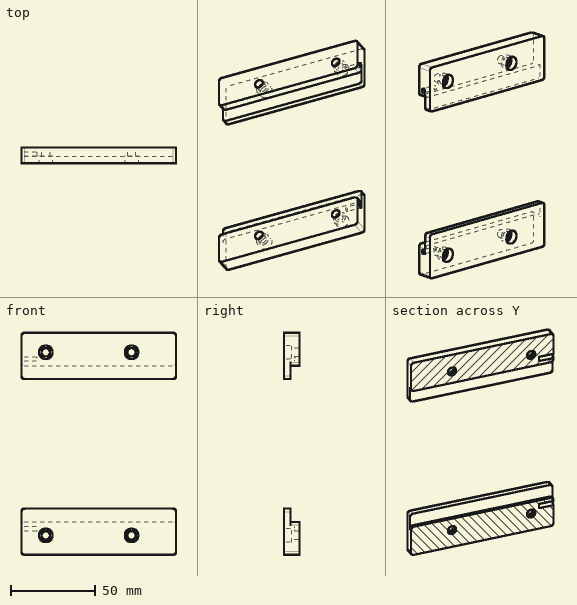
import cadquery as cq

LENGTH = 92.0
THICKNESS = 9.5
OVERALL_HEIGHT = 132.0

JAW_HEIGHT = 27.6
LIP_THICKNESS = 4.1
LIP_OVERHANG = 7.9
BLOCK_HEIGHT = JAW_HEIGHT - LIP_OVERHANG
CORNER_RADIUS = 2.0

SCREW_DIAMETER = 5.0
COUNTERBORE_DIAMETER = 8.0
COUNTERBORE_DEPTH = 4.5
SCREW_INSET = 14.5
SCREW_SPACING = 51.0
SCREW_EDGE_DISTANCE = 11.6

PIN_DIAMETER = 2.5
PIN_FROM_FRONT = 5.5
PIN_FROM_STEP = 4.1
PIN_HOLE_DEPTH = 9.2


def rounded_slab(front, back, height):
    """Slab hanging down from the outer edge at Z = OVERALL_HEIGHT / 2."""
    slab = cq.Workplane("XY").box(LENGTH, back - front, height)
    slab = slab.edges("|Y").fillet(CORNER_RADIUS)
    return slab.translate((0, (front + back) / 2, (OVERALL_HEIGHT - height) / 2))


def cylinder_along_y(x, z, diameter, depth):
    """Cutter that starts at the front face and runs toward the back."""
    return cq.Workplane("XZ").center(x, z).circle(diameter / 2).extrude(-depth)


def make_upper_jaw():
    """Jaw with its lip pointing down, toward the gap between the jaws."""
    outer_edge = OVERALL_HEIGHT / 2
    lip_plate = rounded_slab(0, LIP_THICKNESS, JAW_HEIGHT)
    block = rounded_slab(LIP_THICKNESS, THICKNESS, BLOCK_HEIGHT)
    jaw = lip_plate.union(block)

    screw_z = outer_edge - SCREW_EDGE_DISTANCE
    first_screw_x = -LENGTH / 2 + SCREW_INSET
    for screw_x in (first_screw_x, first_screw_x + SCREW_SPACING):
        jaw = jaw.cut(cylinder_along_y(screw_x, screw_z, SCREW_DIAMETER, THICKNESS))
        jaw = jaw.cut(cylinder_along_y(screw_x, screw_z, COUNTERBORE_DIAMETER, COUNTERBORE_DEPTH))

    pin_z = outer_edge - BLOCK_HEIGHT + PIN_FROM_STEP
    left_end = cq.Workplane("YZ", origin=(-LENGTH / 2, 0, 0))
    pin_hole = left_end.center(PIN_FROM_FRONT, pin_z).circle(PIN_DIAMETER / 2).extrude(PIN_HOLE_DEPTH)
    return jaw.cut(pin_hole)


upper_jaw = make_upper_jaw()
lower_jaw = upper_jaw.mirror("XY")

result = cq.Compound.makeCompound([upper_jaw.val(), lower_jaw.val()])